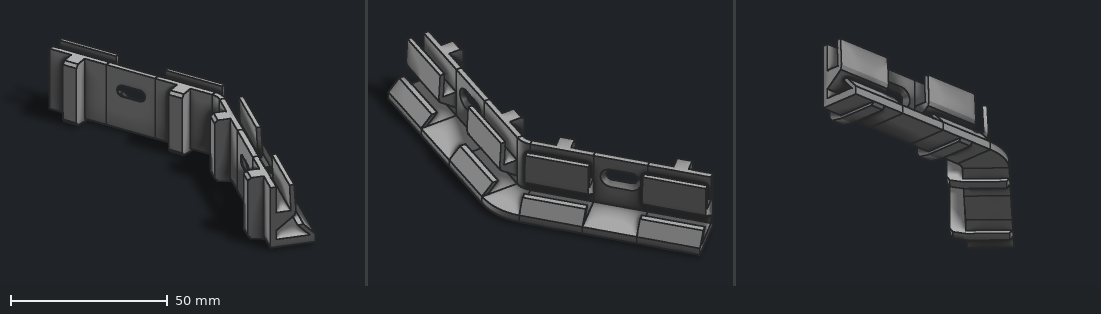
import cadquery as cq


BEND_ANGLE = 44.2
OUTER_RADIUS = 20.0
WIDTH = 15.0
INNER_RADIUS = OUTER_RADIUS - WIDTH
ARM_LENGTH = 60.0
PLATE_LENGTH = 18.0
HOLDER_LENGTH = (ARM_LENGTH - PLATE_LENGTH) / 2

HEIGHT = 22.0
WALL = 2.0
FLOOR = 2.8

LIP_TOP = 7.0
LIP_THICKNESS = 2.0
LIP_LEAN = 4.0

SHELF_TOP = 12.6
SHELF_EDGE = 10.9
BRACE_FOOT = 6.1
HOOK_REACH = 8.4
HOOK_THICKNESS = 1.6
HOOK_LEAN = 0.5
SHELF_TAPER = 0.4

RIB_WIDTH = 5.0
RIB_REACH = 5.3
RIB_TOP_CHAMFER = 1.0
KEEL_DEPTH = 1.0
KEEL_NOSE_TOP = 0.9
KEEL_NOSE_REACH = 4.2
KEEL_NOSE_DROP = 0.4

SLOT_LENGTH = 10.2
SLOT_HEIGHT = 4.0
SLOT_LEVEL = 13.9
SINK = 1.6


def l_outline():
    return [(0, 0), (WIDTH, 0), (WIDTH, FLOOR), (WALL, FLOOR), (WALL, HEIGHT), (0, HEIGHT)]


def extrude_section(points, start, length):
    """Extrude (depth, height) points along +X; depth counts back from the front wall face."""
    plane = cq.Plane(origin=(start, INNER_RADIUS, 0), xDir=(0, 1, 0), normal=(1, 0, 0))
    return cq.Workplane(plane).polyline(points).close().extrude(length)


def make_rib(center):
    points = [
        (WALL, HEIGHT),
        (RIB_TOP_CHAMFER - RIB_REACH, HEIGHT),
        (-RIB_REACH, HEIGHT - RIB_TOP_CHAMFER),
        (-RIB_REACH, KEEL_NOSE_TOP),
        (-KEEL_NOSE_REACH, -KEEL_NOSE_DROP),
        (0, -KEEL_DEPTH),
        (WIDTH - KEEL_DEPTH, -KEEL_DEPTH),
        (WIDTH, 0),
        (WIDTH, FLOOR),
        (WALL, FLOOR),
    ]
    return extrude_section(points, center - RIB_WIDTH / 2, RIB_WIDTH)


def make_holder(start):
    lip_back = WIDTH - LIP_LEAN
    hook_top = HOOK_REACH - HOOK_LEAN
    points = [
        (0, 0),
        (WIDTH, 0),
        (WIDTH, FLOOR),
        (lip_back, LIP_TOP),
        (lip_back - LIP_THICKNESS, LIP_TOP),
        (WIDTH - LIP_THICKNESS, FLOOR),
        (WALL, FLOOR),
        (WALL, BRACE_FOOT),
        (HOOK_REACH - SHELF_TAPER, SHELF_EDGE),
        (HOOK_REACH, SHELF_TOP),
        (hook_top, HEIGHT),
        (hook_top - HOOK_THICKNESS, HEIGHT),
        (HOOK_REACH - HOOK_THICKNESS, SHELF_TOP),
        (WALL, SHELF_TOP),
        (WALL, HEIGHT),
        (0, HEIGHT),
    ]
    body = extrude_section(points, start, HOLDER_LENGTH)
    return body.union(make_rib(start + HOLDER_LENGTH / 2))


def make_slot(center):
    """Slot through the wall, widening toward the back face of the wall."""
    wall_back = INNER_RADIUS + WALL
    front = cq.Plane(origin=(center, INNER_RADIUS, SLOT_LEVEL), xDir=(1, 0, 0), normal=(0, -1, 0))
    back = cq.Plane(origin=(center, wall_back, SLOT_LEVEL), xDir=(1, 0, 0), normal=(0, -1, 0))
    through = cq.Workplane(front).slot2D(SLOT_LENGTH, SLOT_HEIGHT).extrude(-WALL)
    sink = (
        cq.Workplane(back)
        .slot2D(SLOT_LENGTH + 2 * SINK, SLOT_HEIGHT + 2 * SINK)
        .extrude(SINK, taper=45)
    )
    return through.union(sink)


def make_plate(start):
    body = extrude_section(l_outline(), start, PLATE_LENGTH)
    return body.cut(make_slot(start + PLATE_LENGTH / 2))


def make_corner():
    points = [(INNER_RADIUS + depth, height) for depth, height in l_outline()]
    section = cq.Workplane("YZ").polyline(points).close()
    return section.revolve(BEND_ANGLE, (0, 0, 0), (0, 1, 0))


def make_arm():
    return [
        make_holder(0),
        make_plate(HOLDER_LENGTH),
        make_holder(HOLDER_LENGTH + PLATE_LENGTH),
    ]


def to_second_arm(body):
    return body.mirror("YZ").rotate((0, 0, 0), (0, 0, 1), BEND_ANGLE)


first_arm = make_arm()
second_arm = [to_second_arm(body) for body in first_arm]
corner = make_corner()

bodies = [*first_arm, corner, *second_arm]
result = cq.Compound.makeCompound([body.val() for body in bodies])